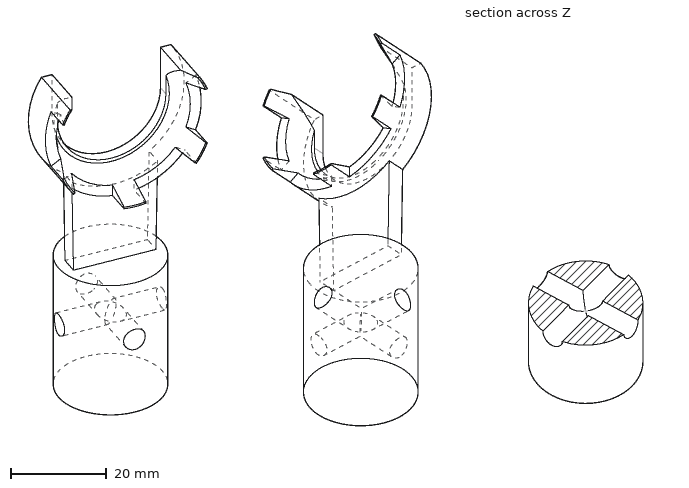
import cadquery as cq
import math

shank_diameter = 24.0
shank_height = 32.0
cross_hole_diameter = 5.0
cross_hole_height = 18.0

ring_radius = 18.0
throat_radius = 12.5
ring_top = 78.8
ring_top_above_axis = 10.0
ring_axis_height = ring_top - ring_top_above_axis
stem_thickness = 4.2
ring_back = -stem_thickness / 2
ring_front = ring_back + 2 * stem_thickness

seat_start = 0.6
seat_start_radius = 13.3
seat_end_radius = 17.6

prong_tip = shank_diameter / 2
prong_width = 5.0
prong_angles = (-150, -90, -30, 30, 150)

stem_base_width = 19.05
stem_side_angle = 1.0


def disc_along_x(radius, start, end):
    """Solid disc on the ring axis between two X positions."""
    plane = cq.Plane(origin=(start, 0, ring_axis_height), xDir=(0, 1, 0), normal=(1, 0, 0))
    return cq.Workplane(plane).circle(radius).extrude(end - start)


def make_shank():
    shank = cq.Workplane("XY").circle(shank_diameter / 2).extrude(shank_height)
    for plane in ("XZ", "YZ"):
        hole = (
            cq.Workplane(plane)
            .center(0, cross_hole_height)
            .circle(cross_hole_diameter / 2)
            .extrude(shank_diameter, both=True)
        )
        shank = shank.cut(hole)
    return shank


def make_stem():
    """Tapered plate running up to the ring axis, where the mouth later trims it."""
    base = stem_base_width / 2
    rise = ring_axis_height - shank_height
    top = base + rise * math.tan(math.radians(stem_side_angle))
    outline = [
        (-base, shank_height),
        (base, shank_height),
        (top, ring_axis_height),
        (-top, ring_axis_height),
    ]
    return cq.Workplane("YZ").polyline(outline).close().extrude(stem_thickness / 2, both=True)


def make_prongs():
    """Parallel-sided radial bars, trimmed to the outer radius of the ring."""
    length = prong_tip - ring_back
    bars = cq.Workplane("XY")
    for angle in prong_angles:
        bar = (
            cq.Workplane("XY")
            .box(length, ring_radius, prong_width, centered=(False, False, True))
            .translate((ring_back, 0, 0))
            .rotate((0, 0, 0), (1, 0, 0), angle)
            .translate((0, 0, ring_axis_height))
        )
        bars = bars.add(bar)
    return bars.combine().intersect(disc_along_x(ring_radius, ring_back, prong_tip))


def make_seat():
    """Cone that widens from the lip to the prong tips."""
    profile = [
        (seat_start, 0),
        (seat_start, seat_start_radius),
        (prong_tip, seat_end_radius),
        (prong_tip, 0),
    ]
    cone = cq.Workplane("XY").polyline(profile).close().revolve(360, (0, 0, 0), (1, 0, 0))
    return cone.translate((0, 0, ring_axis_height))


def make_mouth():
    """U-shaped opening through the ring, with everything above the ring top."""
    length = prong_tip - ring_back
    slot = (
        cq.Workplane("XY")
        .box(length, 2 * throat_radius, ring_radius, centered=(False, True, False))
        .translate((ring_back, 0, ring_axis_height))
    )
    cap = (
        cq.Workplane("XY")
        .box(length, 2 * ring_radius, ring_radius, centered=(False, True, False))
        .translate((ring_back, 0, ring_top))
    )
    return disc_along_x(throat_radius, ring_back, prong_tip).union(slot).union(cap)


ring = disc_along_x(ring_radius, ring_back, ring_front).union(make_prongs())
fork = ring.union(make_stem()).cut(make_seat()).cut(make_mouth())
result = make_shank().union(fork)